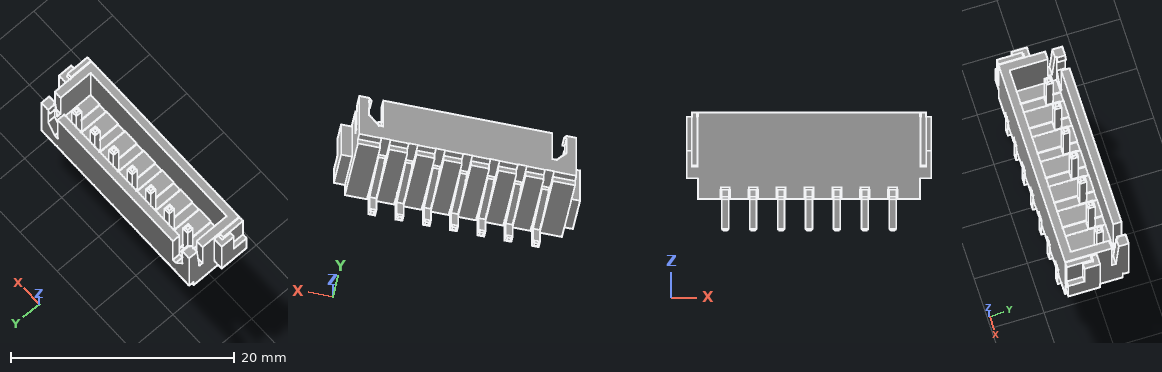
import cadquery as cq


PIN_COUNT = 7
PIN_PITCH = 2.5
PIN_SIZE = 0.64
PIN_CENTER_Y = 3.95
PIN_TOP_Z = 7.02
PIN_BOTTOM_Z = -2.83
PIN_TIP_INSET = 0.165
PIN_TIP_HEIGHT = 0.15
ARM_RISE = 2.9
ARM_RUN = 12.0
ARM_DEPTH = 0.7
BEND_HEIGHT = 0.2
BEND_INSET = 0.07
LEG_DEPTH = 0.6

LENGTH = 19.93
DEPTH = 6.0
HEIGHT = 7.77
WALL = 0.8
FLOOR_TOP_Z = 2.2
FLOOR_GROOVE_WIDTH = 0.9
FLOOR_GROOVE_DEPTH = 0.2
BACK_STEP_DEPTH = 0.55
BACK_STEP_HEIGHT = 0.8

CHANNEL_WIDTH = 0.83
CHANNEL_HEIGHT = 0.83
NOTCH_HEIGHT = 1.05

SIDE_SLOT_HEIGHT = 4.04
BACK_SLOT_HEIGHT = 4.72
POST_TOP_DEPTH = 0.95
POST_FOOT_DEPTH = 1.2
SIDE_SLOT_END = 1.6
POST_WIDTH = 0.9
POST_FOOT_WIDTH = 1.8
POST_FOOT_HEIGHT = 1.62
BACK_SLOT_END = 2.2
BARB_REACH = 0.25
BARB_HEIGHT = 0.5

OVERALL_LENGTH = 21.95
EAR_WIDTH = (OVERALL_LENGTH - LENGTH) / 2
EAR_DEPTH = 2.99
EAR_BOTTOM_Z = 1.85
EAR_TOP_Z = 7.4
EAR_LIP = 0.48
EAR_CUT_DEPTH = 1.51
EAR_CUT_BOTTOM_Z = 4.35
TAB_SLOT_DEPTH = 2.5
TAB_SLOT_BOTTOM_Z = 2.9

TAB_THICKNESS = 0.45
TAB_DEPTH = 2.37
TAB_BOTTOM_Z = 3.03

PIN_XS = [(i - (PIN_COUNT - 1) / 2) * PIN_PITCH for i in range(PIN_COUNT)]


def box(x_start, x_end, y_start, y_end, z_start, z_end):
    """Axis-aligned block between the given limits."""
    size = (x_end - x_start, y_end - y_start, z_end - z_start)
    return cq.Workplane("XY").box(*size, centered=False).translate((x_start, y_start, z_start))


def centered_box(x, width, y_start, y_end, z_start, z_end):
    """Block of the given width centred on x."""
    return box(x - width / 2, x + width / 2, y_start, y_end, z_start, z_end)


def mirrored(shape):
    """The same shape at the other end of the part."""
    return shape.mirror("YZ")


def make_shell():
    """Open-topped box with a stepped back edge underneath."""
    half = LENGTH / 2
    shell = box(-half, half, 0, DEPTH, 0, HEIGHT)
    shell = shell.cut(centered_box(0, LENGTH - 2 * WALL, WALL, DEPTH - WALL, FLOOR_TOP_Z, HEIGHT))
    return shell.cut(centered_box(0, LENGTH, DEPTH - BACK_STEP_DEPTH, DEPTH, 0, BACK_STEP_HEIGHT))


def make_contact_openings(x):
    """Floor groove, under-floor channel and taller front notch at one contact."""
    groove_bottom = FLOOR_TOP_Z - FLOOR_GROOVE_DEPTH
    groove = centered_box(x, FLOOR_GROOVE_WIDTH, WALL, DEPTH - WALL, groove_bottom, FLOOR_TOP_Z)
    channel = centered_box(x, CHANNEL_WIDTH, 0, DEPTH, 0, CHANNEL_HEIGHT)
    notch = centered_box(x, CHANNEL_WIDTH, 0, WALL, 0, NOTCH_HEIGHT)
    return groove.union(channel).union(notch)


def make_side_slot():
    """Tapered slot through the left end wall, in front of the latch post."""
    slot_bottom = HEIGHT - SIDE_SLOT_HEIGHT
    return (
        cq.Workplane("YZ", origin=(-LENGTH / 2, 0, 0))
        .polyline([
            (DEPTH - POST_TOP_DEPTH, HEIGHT),
            (DEPTH - POST_FOOT_DEPTH, slot_bottom),
            (DEPTH - SIDE_SLOT_END, slot_bottom),
            (DEPTH - SIDE_SLOT_END, HEIGHT),
        ])
        .close()
        .extrude(WALL)
    )


def make_back_slot():
    """Slot through the back wall beside the left post, leaving its barb and sloped foot."""
    end_x = -LENGTH / 2
    slot_bottom = HEIGHT - BACK_SLOT_HEIGHT
    barb_bottom = HEIGHT - BARB_HEIGHT
    return (
        cq.Workplane("XZ", origin=(0, DEPTH, 0))
        .polyline([
            (end_x + POST_WIDTH, HEIGHT),
            (end_x + POST_WIDTH + BARB_REACH, barb_bottom),
            (end_x + POST_WIDTH, barb_bottom),
            (end_x + POST_WIDTH, slot_bottom + POST_FOOT_HEIGHT),
            (end_x + POST_FOOT_WIDTH, slot_bottom),
            (end_x + BACK_SLOT_END, slot_bottom),
            (end_x + BACK_SLOT_END, HEIGHT),
        ])
        .close()
        .extrude(WALL)
    )


def make_ear():
    """Left ear with its tab slot and the cut-away upper front corner of its lip."""
    outer_x = -OVERALL_LENGTH / 2
    inner_x = outer_x + EAR_WIDTH
    lip_x = outer_x + EAR_LIP
    ear = box(outer_x, inner_x, 0, EAR_DEPTH, EAR_BOTTOM_Z, EAR_TOP_Z)
    ear = ear.cut(box(lip_x, inner_x, 0, TAB_SLOT_DEPTH, TAB_SLOT_BOTTOM_Z, EAR_TOP_Z))
    return ear.cut(box(outer_x, lip_x, 0, EAR_CUT_DEPTH, EAR_CUT_BOTTOM_Z, EAR_TOP_Z))


def make_pin_tip(x, y, depth, base_z, direction):
    """Pyramid frustum closing a pin end; direction is +1 upward or -1 downward."""
    taper = 2 * PIN_TIP_INSET
    return (
        cq.Workplane("XY", origin=(x, y, base_z))
        .rect(PIN_SIZE, depth)
        .workplane(offset=direction * PIN_TIP_HEIGHT)
        .rect(PIN_SIZE - taper, depth - taper)
        .loft(ruled=True)
    )


def make_pin(x):
    """Contact: upright pin, sloped arm stepping down to a flat under the front wall, and leg."""
    slope = ARM_RISE / ARM_RUN
    pin_front = PIN_CENTER_Y - PIN_SIZE / 2
    pin_back = PIN_CENTER_Y + PIN_SIZE / 2
    upper_base = PIN_TOP_Z - PIN_TIP_HEIGHT
    lower_base = PIN_BOTTOM_Z + PIN_TIP_HEIGHT
    body = (
        cq.Workplane("YZ", origin=(x - PIN_SIZE / 2, 0, 0))
        .moveTo(0, lower_base)
        .lineTo(0, -BEND_HEIGHT)
        .tangentArcPoint((BEND_INSET, 0), relative=False)
        .lineTo(WALL, 0)
        .lineTo(WALL, slope * WALL)
        .lineTo(pin_front, slope * pin_front)
        .lineTo(pin_front, upper_base)
        .lineTo(pin_back, upper_base)
        .lineTo(pin_back, slope * pin_back - ARM_DEPTH)
        .lineTo(LEG_DEPTH, slope * LEG_DEPTH - ARM_DEPTH)
        .lineTo(LEG_DEPTH, lower_base)
        .close()
        .extrude(PIN_SIZE)
    )
    upper_tip = make_pin_tip(x, PIN_CENTER_Y, PIN_SIZE, upper_base, 1)
    lower_tip = make_pin_tip(x, LEG_DEPTH / 2, LEG_DEPTH, lower_base, -1)
    return body.union(upper_tip).union(lower_tip)


def make_housing():
    """Housing with its contacts fixed in the floor, as one solid."""
    housing = make_shell()
    for x in PIN_XS:
        housing = housing.cut(make_contact_openings(x))
    latch_slots = make_side_slot().union(make_back_slot())
    for feature in (latch_slots, mirrored(latch_slots)):
        housing = housing.cut(feature)
    for ear in (make_ear(), mirrored(make_ear())):
        housing = housing.union(ear)
    for x in PIN_XS:
        housing = housing.union(make_pin(x))
    return housing


def make_tab():
    """Flat tab standing in the left ear slot, against the ear lip."""
    tab_x = -OVERALL_LENGTH / 2 + EAR_LIP
    return box(tab_x, tab_x + TAB_THICKNESS, 0, TAB_DEPTH, TAB_BOTTOM_Z, HEIGHT)


housing = make_housing()
left_tab = make_tab()
tabs = [left_tab, mirrored(left_tab)]

result = cq.Compound.makeCompound([housing.val(), *[tab.val() for tab in tabs]])